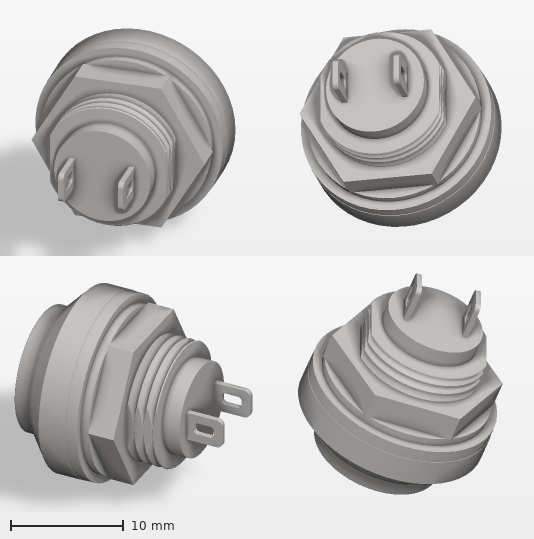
import cadquery as cq


overall_length = 19.32

button_dia = 11.8
button_crown_y = 7.73
button_rim_y = 7.6
button_edge_round = 0.12
bezel_face_y = 5.68
bezel_face_dia = 13.33
bezel_cone_y = 3.77
bezel_dia = 17.5
bezel_step_y = 1.2
bezel_rear_dia = 17.4

washer_dia = 15.75
washer_thickness = 0.8
nut_flats = 13.95
nut_thickness = 2.51
nut_turn = 30
washer_rear_y = -washer_thickness
nut_rear_y = washer_rear_y - nut_thickness

thread_dia = 11.8
thread_root_dia = 10.8
thread_flats = 10.84
thread_pitch = 0.93
crest_width = 0.1
root_width = 0.05
thread_rear_flank = 0.46
first_crest_offset = 0.15
first_crest_y = nut_rear_y - first_crest_offset
groove_count = 3
last_crest_y = first_crest_y - groove_count * thread_pitch
thread_end_y = -6.4
end_cone_dia = 11.67
thread_front_flank = thread_pitch - crest_width - root_width - thread_rear_flank

base_dia = 8.95
base_rear_y = -8.08
tab_end_y = button_crown_y - overall_length
tab_spacing = 5.56
tab_thickness = 0.5
tab_height = 2.8
tab_corner_radius = 0.55
slot_length = 1.99
slot_height = 1.15
slot_corner_radius = 0.37
slot_center_y = -9.78


def disc(diameter, y_rear, y_front):
    """Solid cylinder about the Y axis between two Y positions."""
    return (
        cq.Workplane("XZ", origin=(0, y_front, 0))
        .circle(diameter / 2)
        .extrude(y_front - y_rear)
    )


def make_head():
    """Crowned button and conical bezel, turned as one profile."""
    button_radius = button_dia / 2
    crown_mid_radius = button_radius / 2
    crown_mid_y = button_crown_y - (button_crown_y - button_rim_y) / 4
    return (
        cq.Workplane("XY")
        .moveTo(0, 0)
        .lineTo(bezel_rear_dia / 2, 0)
        .lineTo(bezel_rear_dia / 2, bezel_step_y)
        .lineTo(bezel_dia / 2, bezel_step_y)
        .lineTo(bezel_dia / 2, bezel_cone_y)
        .lineTo(bezel_face_dia / 2, bezel_face_y)
        .lineTo(button_radius, bezel_face_y)
        .lineTo(button_radius, button_rim_y)
        .threePointArc((crown_mid_radius, crown_mid_y), (0, button_crown_y))
        .close()
        .revolve(360, (0, 0, 0), (0, 1, 0))
        .faces(">Y")
        .edges()
        .fillet(button_edge_round)
    )


def make_nut():
    """Hexagonal nut, turned so that two opposite corners lie along X."""
    return (
        cq.Workplane("XZ", origin=(0, washer_rear_y, 0))
        .polygon(6, nut_flats, circumscribed=True)
        .extrude(nut_thickness)
        .rotate((0, 0, 0), (0, 1, 0), nut_turn)
    )


def make_threaded_body():
    """Body with ring-shaped thread grooves, a slightly conical end and two flats."""
    crest_radius = thread_dia / 2
    root_radius = thread_root_dia / 2
    half_crest = crest_width / 2
    profile = (
        cq.Workplane("XY")
        .moveTo(0, 0)
        .lineTo(root_radius, 0)
        .lineTo(root_radius, first_crest_y + half_crest + thread_front_flank)
        .lineTo(crest_radius, first_crest_y + half_crest)
    )
    for index in range(groove_count):
        crest_rear_y = first_crest_y - index * thread_pitch - half_crest
        root_front_y = crest_rear_y - thread_rear_flank
        root_rear_y = root_front_y - root_width
        profile = (
            profile.lineTo(crest_radius, crest_rear_y)
            .lineTo(root_radius, root_front_y)
            .lineTo(root_radius, root_rear_y)
            .lineTo(crest_radius, root_rear_y - thread_front_flank)
        )
    body = (
        profile.lineTo(end_cone_dia / 2, last_crest_y - half_crest)
        .lineTo(base_dia / 2, thread_end_y)
        .lineTo(0, thread_end_y)
        .close()
        .revolve(360, (0, 0, 0), (0, 1, 0))
    )
    flats_block = cq.Workplane("XY").box(thread_flats, 2 * overall_length, thread_dia)
    return body.intersect(flats_block)


def make_tab(center_x):
    """Upright solder tab with rounded end corners and a slot with rounded corners."""
    tab_length = base_rear_y - tab_end_y
    tab = (
        cq.Workplane("XY")
        .box(tab_thickness, tab_length, tab_height)
        .edges("|X and <Y")
        .fillet(tab_corner_radius)
        .translate((center_x, base_rear_y - tab_length / 2, 0))
    )
    slot = (
        cq.Workplane("XY")
        .box(tab_thickness, slot_length, slot_height)
        .edges("|X")
        .fillet(slot_corner_radius)
        .translate((center_x, slot_center_y, 0))
    )
    return tab.cut(slot)


result = (
    make_head()
    .union(disc(washer_dia, washer_rear_y, 0))
    .union(make_nut())
    .union(make_threaded_body())
    .union(disc(base_dia, base_rear_y, thread_end_y))
)
for side in (-1, 1):
    result = result.union(make_tab(side * tab_spacing / 2))